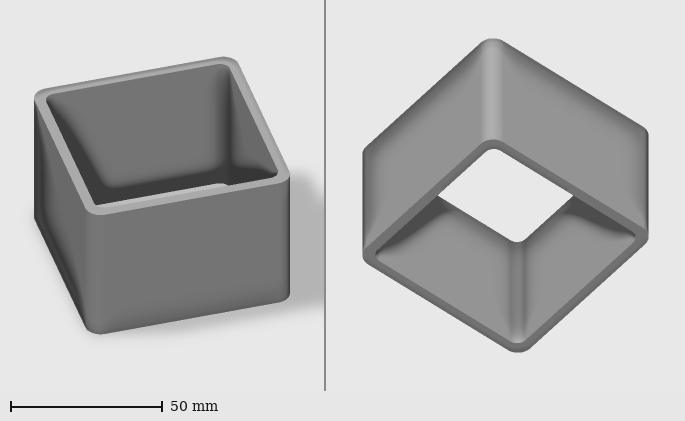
import cadquery as cq

side = 70.0
height = 50.0
wall = 3.5
outer_radius = 1.5 * wall
inner_radius = wall


def rounded_square_prism(width, corner_radius):
    """Upright square prism with rounded vertical edges, centred on the origin."""
    return cq.Workplane("XY").box(width, width, height).edges("|Z").fillet(corner_radius)


outer_body = rounded_square_prism(side, outer_radius)
bore = rounded_square_prism(side - 2 * wall, inner_radius)

result = outer_body.cut(bore)